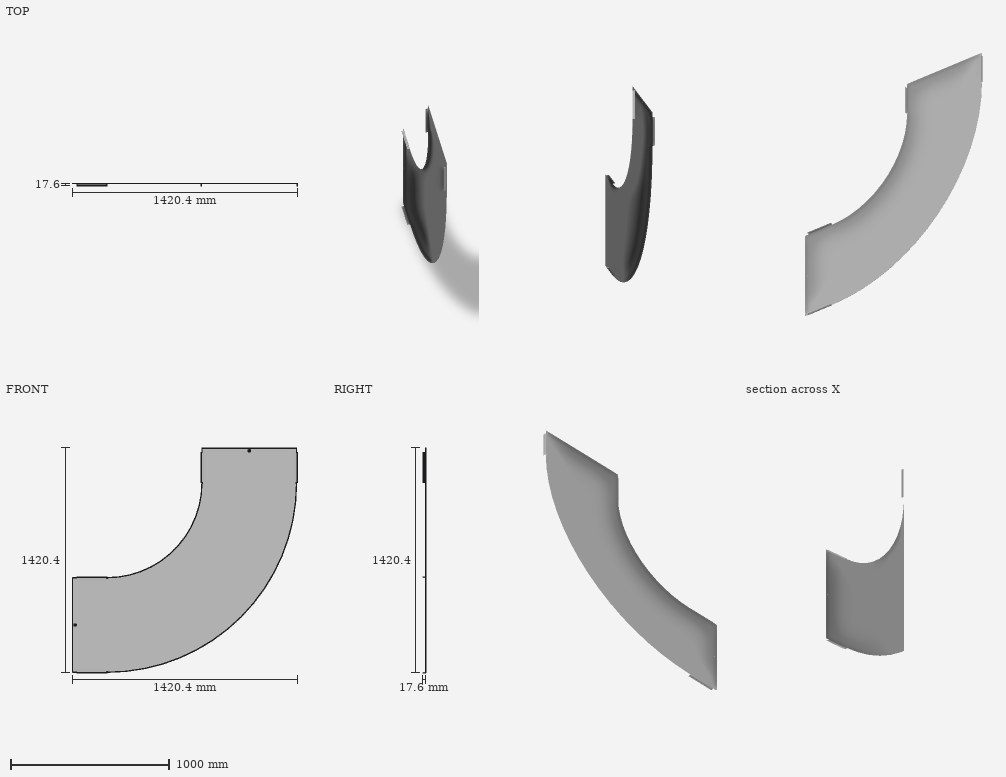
import cadquery as cq
import math

outer_size = 1420.4
cover_depth = 17.63
sheet = 1.5
plate_width = 598.5
straight_run = 220.0
corner_chamfer = 2.5
flange_overhang = 5.0

flange_length = 189.0
flange_setback = 29.0
bend_radius = flange_overhang
bead_depth = 11.5
bead_size = 2.0

notch_length = 5.0
notch_depth = 4.0

seat_diameter = 15.5
seat_depth = sheet / 2
hole_diameter = 5.0
hole_setback = 17.0

outer_edge = outer_size - flange_overhang
inner_edge = outer_edge - plate_width
outer_radius = outer_edge - straight_run
inner_radius = inner_edge - straight_run
mid_edge = (inner_edge + outer_edge) / 2
half_root = math.sqrt(0.5)



def arc_middle(radius):
    """Middle of the quarter arc of the given radius about the bend centre."""
    reach = straight_run + radius * half_root
    return (reach, -reach)


def make_plate():
    return (
        cq.Workplane("XZ")
        .moveTo(0, -inner_edge - corner_chamfer)
        .lineTo(corner_chamfer, -inner_edge)
        .lineTo(straight_run, -inner_edge)
        .threePointArc(arc_middle(inner_radius), (inner_edge, -straight_run))
        .lineTo(inner_edge, -corner_chamfer)
        .lineTo(inner_edge + corner_chamfer, 0)
        .lineTo(outer_edge - corner_chamfer, 0)
        .lineTo(outer_edge, -corner_chamfer)
        .lineTo(outer_edge, -straight_run)
        .threePointArc(arc_middle(outer_radius), (straight_run, -outer_edge))
        .lineTo(corner_chamfer, -outer_edge)
        .lineTo(0, -outer_edge + corner_chamfer)
        .close()
        .extrude(sheet)
    )


def make_flange(edge, outward):
    """Flange on the Z = 0 end; outward is +1 for the outer edge, -1 for the inner."""
    outer_face = edge + outward * flange_overhang
    inner_face = outer_face - outward * sheet
    inner_bend = bend_radius - sheet
    bead_top = -bead_depth + bead_size
    bead_bottom = -bead_depth - bead_size
    return (
        cq.Workplane("XY", origin=(0, 0, -flange_setback - flange_length))
        .moveTo(edge, 0)
        .threePointArc(
            (edge + outward * bend_radius * half_root, bend_radius * (half_root - 1)),
            (outer_face, -bend_radius),
        )
        .lineTo(outer_face, bead_top)
        .lineTo(outer_face - outward * bead_size, -bead_depth)
        .lineTo(outer_face, bead_bottom)
        .lineTo(outer_face, -cover_depth)
        .lineTo(inner_face, -cover_depth)
        .lineTo(inner_face, bead_bottom)
        .lineTo(inner_face - outward * bead_size, -bead_depth)
        .lineTo(inner_face, bead_top)
        .lineTo(inner_face, -bend_radius)
        .threePointArc(
            (edge + outward * inner_bend * half_root, inner_bend * half_root - bend_radius),
            (edge, -sheet),
        )
        .close()
        .extrude(flange_length)
    )


def make_notch(edge, outward):
    """Cutter for the relief notch beyond the flange on the Z = 0 end."""
    return (
        cq.Workplane("XZ")
        .center(edge - outward * notch_depth / 2, -flange_setback - flange_length - notch_length / 2)
        .rect(notch_depth, notch_length)
        .extrude(sheet)
    )


def make_fastener_hole():
    """Cutter for the stepped fastener hole in the Z = 0 end."""
    hole_start = cq.Workplane("XZ").center(mid_edge, -hole_setback)
    hole = hole_start.circle(hole_diameter / 2).extrude(sheet)
    seat = hole_start.workplane(offset=sheet - seat_depth).circle(seat_diameter / 2).extrude(seat_depth)
    return hole.union(seat)


def on_other_end(shape):
    """Copy of a Z = 0 end feature on the X = 0 end, mirrored about the plane X = -Z."""
    return shape.rotate((0, 0, 0), (0, 1, 0), 90).mirror("YZ")


result = make_plate()
cutters = [make_fastener_hole()]
for edge, outward in ((inner_edge, -1), (outer_edge, 1)):
    flange = make_flange(edge, outward)
    result = result.union(flange).union(on_other_end(flange))
    cutters.append(make_notch(edge, outward))
for cutter in cutters:
    result = result.cut(cutter).cut(on_other_end(cutter))
result = result.translate((-outer_size / 2, cover_depth / 2, outer_size / 2))